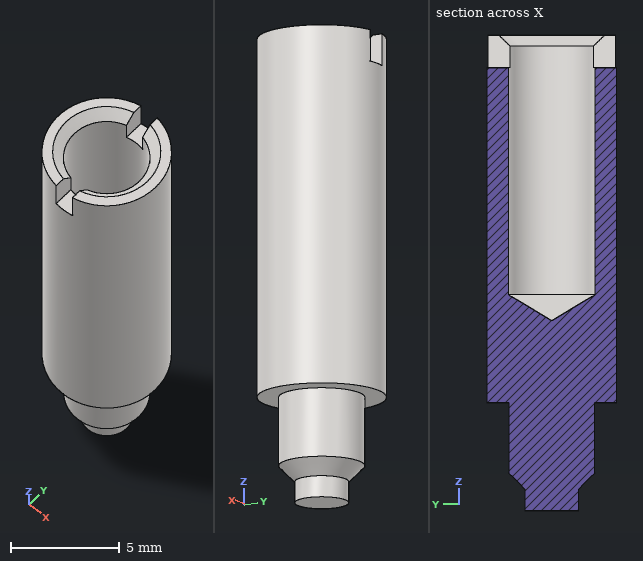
import cadquery as cq
import math

total_height = 22.0
body_base = 5.0
neck_base = 1.75
tip_height = 1.0

body_radius = 3.0
neck_radius = 2.0
tip_radius = 1.25

bore_radius = 2.0
bore_depth = 12.0
drill_point_angle = 118.0
mouth_radius = 2.5
mouth_depth = 0.5

slot_width = 1.0
slot_depth = 1.5


def make_stepped_pin():
    """Body, neck, tapered shoulder and tip, revolved about Z."""
    return (
        cq.Workplane("XZ")
        .lineTo(tip_radius, 0)
        .lineTo(tip_radius, tip_height)
        .lineTo(neck_radius, neck_base)
        .lineTo(neck_radius, body_base)
        .lineTo(body_radius, body_base)
        .lineTo(body_radius, total_height)
        .lineTo(0, total_height)
        .close()
        .revolve()
    )


def make_bore():
    """Bore with its drill point and the conical mouth, revolved about Z."""
    bore_floor = total_height - bore_depth
    point_depth = bore_radius / math.tan(math.radians(drill_point_angle / 2))
    return (
        cq.Workplane("XZ")
        .moveTo(0, bore_floor - point_depth)
        .lineTo(bore_radius, bore_floor)
        .lineTo(bore_radius, total_height - mouth_depth)
        .lineTo(mouth_radius, total_height)
        .lineTo(0, total_height)
        .close()
        .revolve()
    )


def make_slot():
    """Straight slot through both walls at the top."""
    slot_floor = total_height - slot_depth
    return (
        cq.Workplane("XY", origin=(0, 0, slot_floor))
        .rect(slot_width, 2 * body_radius)
        .extrude(slot_depth)
    )


result = make_stepped_pin().cut(make_bore()).cut(make_slot())